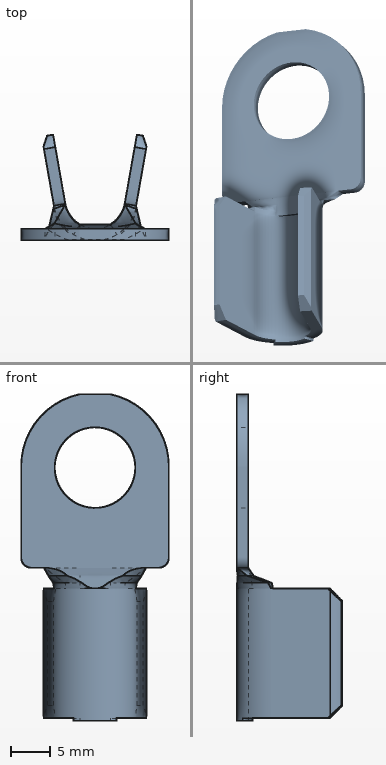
import cadquery as cq
import math

total_length = 41.55
sheet = 1.5

tongue_width = 18.8
tongue_bottom = 19.45
tongue_corner_radius = 1.33
crown_flat_width = 3.9
stud_hole_diameter = 10.2
stud_hole_height = 32.2

barrel_bottom = 0.35
barrel_top = 16.8
barrel_outer_radius = 5.3
wing_tip_y = 13.45
wing_flare = math.radians(10)
wing_chamfer_length = 1.3
wing_corner_cut = 1.6
wing_chamfer_depth = 0.7
tab_half_angle = math.radians(31)

neck_waist_height = 17.53
neck_dent_height = 18.45
neck_dent = 0.12
neck_end_bow = 0.01

barrel_inner_radius = barrel_outer_radius - sheet
crown_radius = tongue_width / 2
crown_flat_half = crown_flat_width / 2
crown_center = total_length - math.sqrt(crown_radius**2 - crown_flat_half**2)


def barrel_point(radius, angle):
    """Point on a barrel circle, with the angle measured from the lowest point."""
    return (radius * math.sin(angle), barrel_outer_radius - radius * math.cos(angle))


def mirrored(point):
    return (-point[0], point[1])


def make_tongue():
    half_width = tongue_width / 2
    crown_middle = math.asin(crown_flat_half / crown_radius) / 2 + math.pi / 4
    crown_x = crown_radius * math.sin(crown_middle)
    crown_z = crown_center + crown_radius * math.cos(crown_middle)
    outline = (
        cq.Workplane("XZ")
        .moveTo(-half_width, tongue_bottom)
        .lineTo(half_width, tongue_bottom)
        .lineTo(half_width, crown_center)
        .threePointArc((crown_x, crown_z), (crown_flat_half, total_length))
        .lineTo(-crown_flat_half, total_length)
        .threePointArc((-crown_x, crown_z), (-half_width, crown_center))
        .close()
    )
    tongue = outline.extrude(-sheet)
    tongue = tongue.edges("|Y").edges("<Z").fillet(tongue_corner_radius)
    hole = (
        cq.Workplane("XZ")
        .center(0, stud_hole_height)
        .circle(stud_hole_diameter / 2)
        .extrude(-sheet)
    )
    return tongue.cut(hole)


def make_barrel():
    flare_angle = math.pi / 2 - wing_flare
    outer_root = barrel_point(barrel_outer_radius, flare_angle)
    inner_root = barrel_point(barrel_inner_radius, flare_angle)
    wing_length = (wing_tip_y - inner_root[1]) / math.cos(wing_flare)

    def along_wing(root, distance):
        return (
            root[0] + distance * math.sin(wing_flare),
            root[1] + distance * math.cos(wing_flare),
        )

    chamfer_root = barrel_point(barrel_outer_radius - wing_chamfer_depth, flare_angle)
    inner_tip = along_wing(inner_root, wing_length)
    outer_tip = along_wing(chamfer_root, wing_length)
    chamfer_start = along_wing(outer_root, wing_length - wing_chamfer_length)

    barrel = (
        cq.Workplane("XY", origin=(0, 0, barrel_bottom))
        .moveTo(*outer_root)
        .lineTo(*chamfer_start)
        .lineTo(*outer_tip)
        .lineTo(*inner_tip)
        .lineTo(*inner_root)
        .threePointArc((0, sheet), mirrored(inner_root))
        .lineTo(*mirrored(inner_tip))
        .lineTo(*mirrored(outer_tip))
        .lineTo(*mirrored(chamfer_start))
        .lineTo(*mirrored(outer_root))
        .threePointArc((0, 0), outer_root)
        .close()
        .extrude(barrel_top - barrel_bottom)
    )

    wing_plane = cq.Plane(
        origin=(*inner_tip, 0),
        xDir=(math.sin(wing_flare), math.cos(wing_flare), 0),
        normal=(math.cos(wing_flare), -math.sin(wing_flare), 0),
    )
    for end, inward in ((barrel_bottom, 1), (barrel_top, -1)):
        corner = (
            cq.Workplane(wing_plane)
            .polyline([
                (-wing_corner_cut, end),
                (0, end),
                (0, end + inward * wing_corner_cut),
            ])
            .close()
            .extrude(sheet)
        )
        barrel = barrel.cut(corner).cut(corner.mirror("YZ"))
    return barrel


def make_end_tab():
    """Short cut-off stub below the barrel floor, with radial sides."""
    outer_end = barrel_point(barrel_outer_radius, tab_half_angle)
    inner_end = barrel_point(barrel_inner_radius, tab_half_angle)
    return (
        cq.Workplane("XY")
        .moveTo(*outer_end)
        .lineTo(*inner_end)
        .threePointArc((0, sheet), mirrored(inner_end))
        .lineTo(*mirrored(outer_end))
        .threePointArc((0, 0), outer_end)
        .close()
        .extrude(barrel_bottom)
    )


def neck_section(height, front_y, outer_tip, inner_tip, inner_bend, floor_end):
    """Open channel with a flat floor; the bend point sets the curve of its inner walls."""
    return (
        cq.Workplane("XY", origin=(0, 0, height))
        .moveTo(*mirrored(outer_tip))
        .threePointArc((0, front_y), outer_tip)
        .lineTo(*inner_tip)
        .threePointArc(inner_bend, floor_end)
        .lineTo(*mirrored(floor_end))
        .threePointArc(mirrored(inner_bend), mirrored(inner_tip))
        .close()
        .val()
    )


def make_neck():
    """Transition from the round barrel to the flat tongue, with a V-shaped front facet."""
    tip_angle = math.pi / 2 - wing_flare
    floor_end = barrel_point(barrel_inner_radius, tab_half_angle)

    def floor_at(height):
        fraction = (height - barrel_top) / (tongue_bottom - barrel_top)
        return (floor_end[0], floor_end[1] + fraction * (sheet - floor_end[1]))

    base = neck_section(
        height=barrel_top,
        front_y=0,
        outer_tip=barrel_point(barrel_outer_radius, tip_angle),
        inner_tip=barrel_point(barrel_inner_radius, tip_angle),
        inner_bend=barrel_point(barrel_inner_radius, (tip_angle + tab_half_angle) / 2),
        floor_end=floor_end,
    )
    waist = neck_section(
        height=neck_waist_height,
        front_y=-0.2,
        outer_tip=(5.3, 4.0),
        inner_tip=(3.8, 4.5),
        inner_bend=(3.07, 3.0),
        floor_end=floor_at(neck_waist_height),
    )
    dented = neck_section(
        height=neck_dent_height,
        front_y=-0.5,
        outer_tip=(5.95, 1.33),
        inner_tip=(5.15, 2.15),
        inner_bend=(3.55, 1.83),
        floor_end=floor_at(neck_dent_height),
    )
    end = neck_section(
        height=tongue_bottom,
        front_y=-0.4,
        outer_tip=(6.48, 0.1),
        inner_tip=(6.3, sheet),
        inner_bend=(4.15, sheet - neck_end_bow),
        floor_end=floor_at(tongue_bottom),
    )
    neck = cq.Workplane("XY").add(cq.Solid.makeLoft([base, waist, dented, end], True))

    trim = (
        cq.Workplane("YZ")
        .polyline([
            (0, barrel_top),
            (neck_dent, neck_dent_height),
            (0, tongue_bottom),
            (-sheet, tongue_bottom),
            (-sheet, barrel_top),
        ])
        .close()
        .extrude(tongue_width / 2, both=True)
    )
    return neck.cut(trim)


result = make_tongue().union(make_neck()).union(make_barrel()).union(make_end_tab()).clean()